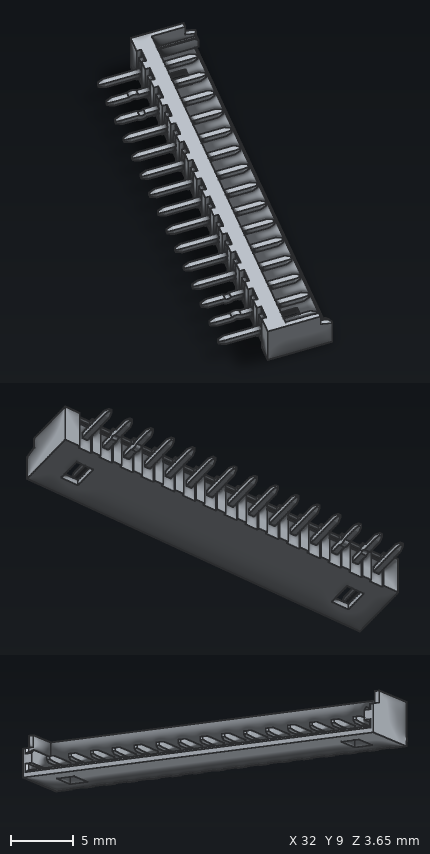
import cadquery as cq
import math

LENGTH = 32.0
DEPTH = 5.5
HEIGHT = 3.65
CROSSBAR_DEPTH = 1.65
FLOOR_THICKNESS = 0.6
END_WALL_THICKNESS = 0.4
REAR_CHAMFER = 0.2

STEP_LENGTH = 1.0
STEP_INNER_HEIGHT = 2.65
STEP_OUTER_HEIGHT = 2.37

RAIL_BOTTOM = 1.12
RAIL_LEDGE_HEIGHT = 2.1
RAIL_LEDGE_WIDTH = 0.2
RAIL_LIP_WIDTH = 0.2
RAIL_LIP_ANGLE = 35.0

PIN_COUNT = 15
PITCH = LENGTH / (PIN_COUNT + 1)
PIN_SIZE = 0.5
PIN_TIP_SIZE = 0.25
PIN_TIP_LENGTH = 0.5
PIN_HEIGHT = 1.5
PIN_FRONT_REACH = 3.5
PIN_REAR_INSET = 0.58

KINKS = {1: 1, 2: -1, PIN_COUNT - 3: -1, PIN_COUNT - 2: 1}
KINK_DISTANCE = 1.28
KINK_CREST_LENGTH = 0.8
KINK_CREST_RISE = 0.15
KINK_DENT_LENGTH = 0.5
KINK_DENT_RISE = 0.13

SLOT_WIDTH = 1.2
SLOT_LOWER_DEPTH = 0.2
SLOT_UPPER_DEPTH = 0.4
SLOT_POCKET_DEPTH = 0.6
POCKET_BOTTOM = 2.7
POCKET_TOP = 3.25

WINDOW_WIDTH = 1.6
WINDOW_REAR_MARGIN = 1.63

PIN_POSITIONS = [(i - (PIN_COUNT - 1) / 2) * PITCH for i in range(PIN_COUNT)]


def prism_along_x(points, x_start, length):
    """Extrude a closed outline of (y, z) points along +X from x_start."""
    return cq.Workplane("YZ", origin=(x_start, 0, 0)).polyline(points).close().extrude(length)


def make_shell():
    """Crossbar, floor and left and right end walls, open at the top and rear."""
    side_profile = [
        (0, 0),
        (DEPTH, 0),
        (DEPTH, STEP_OUTER_HEIGHT),
        (DEPTH - STEP_LENGTH, STEP_INNER_HEIGHT),
        (DEPTH - STEP_LENGTH, HEIGHT),
        (0, HEIGHT),
    ]
    shell = prism_along_x(side_profile, -LENGTH / 2, LENGTH)

    opening_half = LENGTH / 2 - END_WALL_THICKNESS
    opening = cq.Workplane("XY").box(
        2 * opening_half, DEPTH - CROSSBAR_DEPTH, HEIGHT, centered=(True, False, False)
    )
    shell = shell.cut(opening.translate((0, CROSSBAR_DEPTH, FLOOR_THICKNESS)))

    flare = (
        cq.Workplane("XZ", origin=(0, DEPTH, FLOOR_THICKNESS + HEIGHT))
        .rect(2 * (opening_half + REAR_CHAMFER), 2 * (HEIGHT + REAR_CHAMFER))
        .workplane(offset=REAR_CHAMFER)
        .rect(2 * opening_half, 2 * HEIGHT)
        .loft(ruled=True)
    )
    return shell.cut(flare)


def make_left_rail():
    """Overhanging rail on the left end wall, with a ledge and a raised lip along its free edge."""
    wall_x = -LENGTH / 2 + END_WALL_THICKNESS
    lip_x = wall_x + RAIL_LEDGE_WIDTH
    free_x = lip_x + RAIL_LIP_WIDTH
    lip_top = RAIL_LEDGE_HEIGHT + RAIL_LIP_WIDTH * math.tan(math.radians(RAIL_LIP_ANGLE))
    root_x = wall_x - REAR_CHAMFER

    rail = (
        cq.Workplane("XZ", origin=(0, DEPTH, 0))
        .moveTo(root_x, RAIL_BOTTOM)
        .lineTo(free_x, RAIL_BOTTOM)
        .lineTo(free_x, lip_top)
        .lineTo(lip_x, RAIL_LEDGE_HEIGHT)
        .lineTo(root_x, RAIL_LEDGE_HEIGHT)
        .close()
        .extrude(DEPTH - CROSSBAR_DEPTH)
    )

    bevel_bottom = RAIL_LEDGE_HEIGHT - REAR_CHAMFER
    bevel_run = lip_top - bevel_bottom
    bevel = prism_along_x(
        [(DEPTH, bevel_bottom), (DEPTH, lip_top), (DEPTH - bevel_run, lip_top)],
        root_x,
        free_x - root_x,
    )
    return rail.cut(bevel)


def make_slot(x):
    """Stepped recess in the front face around the pin at x, with a deeper pocket near its top."""
    profile = [
        (0, 0),
        (SLOT_LOWER_DEPTH, 0),
        (SLOT_LOWER_DEPTH, POCKET_BOTTOM),
        (SLOT_POCKET_DEPTH, POCKET_BOTTOM),
        (SLOT_POCKET_DEPTH, POCKET_TOP),
        (SLOT_UPPER_DEPTH, POCKET_TOP),
        (SLOT_UPPER_DEPTH, HEIGHT),
        (0, HEIGHT),
    ]
    return prism_along_x(profile, x - SLOT_WIDTH / 2, SLOT_WIDTH)


def make_window(x):
    """Rectangular cut through the floor, centred on x."""
    length = DEPTH - CROSSBAR_DEPTH - WINDOW_REAR_MARGIN
    window = cq.Workplane("XY").box(WINDOW_WIDTH, length, FLOOR_THICKNESS, centered=(True, False, False))
    return window.translate((x, CROSSBAR_DEPTH, 0))


def make_pin_tip(x, y, direction):
    """Tapered pin end starting at y and pointing along direction (+1 rear, -1 front)."""
    plane = cq.Plane(origin=(x, y, PIN_HEIGHT), xDir=(1, 0, 0), normal=(0, direction, 0))
    return (
        cq.Workplane(plane)
        .rect(PIN_SIZE, PIN_SIZE)
        .workplane(offset=PIN_TIP_LENGTH)
        .rect(PIN_TIP_SIZE, PIN_TIP_SIZE)
        .loft(ruled=True)
    )


def make_pin(x, kink):
    """Square pin at x with tapered ends, bent up (+1), bent down (-1) or straight (0)."""
    front = -PIN_FRONT_REACH + PIN_TIP_LENGTH
    rear = DEPTH - PIN_REAR_INSET - PIN_TIP_LENGTH
    bottom = PIN_HEIGHT - PIN_SIZE / 2
    top = PIN_HEIGHT + PIN_SIZE / 2

    outline = cq.Workplane("YZ", origin=(x - PIN_SIZE / 2, 0, 0)).moveTo(front, bottom)
    if kink:
        crest = (KINK_CREST_LENGTH / 2, KINK_CREST_RISE)
        dent = (KINK_DENT_LENGTH / 2, KINK_DENT_RISE)
        (low_half, low_rise), (high_half, high_rise) = (dent, crest) if kink > 0 else (crest, dent)
        middle = -KINK_DISTANCE
        outline = (
            outline.lineTo(middle - low_half, bottom)
            .threePointArc((middle, bottom + kink * low_rise), (middle + low_half, bottom))
            .lineTo(rear, bottom)
            .lineTo(rear, top)
            .lineTo(middle + high_half, top)
            .threePointArc((middle, top + kink * high_rise), (middle - high_half, top))
        )
    else:
        outline = outline.lineTo(rear, bottom).lineTo(rear, top)
    shaft = outline.lineTo(front, top).close().extrude(PIN_SIZE)
    return shaft.union(make_pin_tip(x, front, -1)).union(make_pin_tip(x, rear, 1))


left_rail = make_left_rail()
result = make_shell().union(left_rail).union(left_rail.mirror("YZ"))

for pin_x in PIN_POSITIONS:
    result = result.cut(make_slot(pin_x))

for window_x in (PIN_POSITIONS[0] + PITCH / 2, PIN_POSITIONS[-1] - PITCH / 2):
    result = result.cut(make_window(window_x))

for index, pin_x in enumerate(PIN_POSITIONS):
    result = result.union(make_pin(pin_x, KINKS.get(index, 0)))